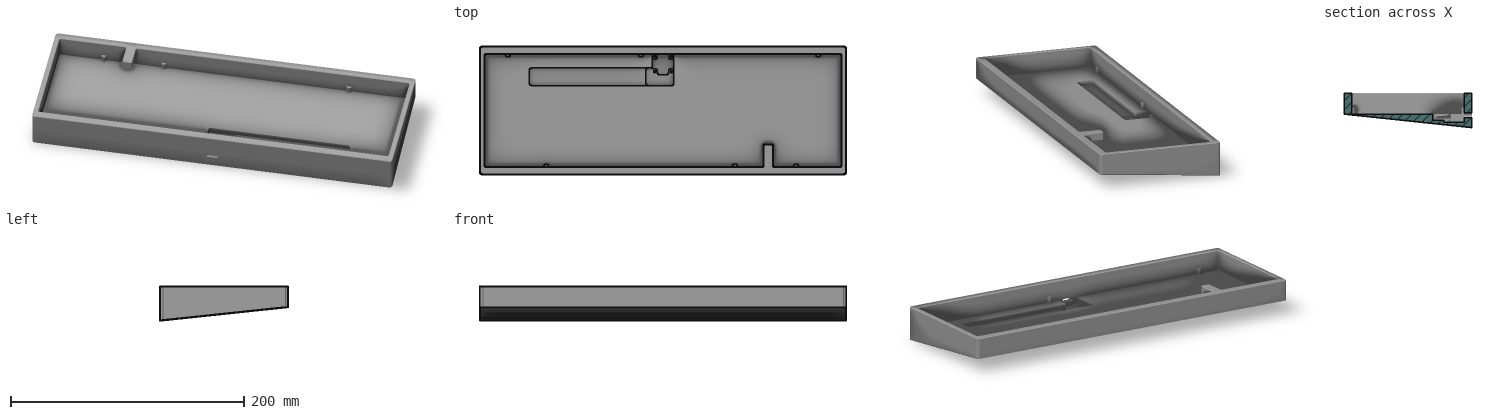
import cadquery as cq

LENGTH = 314.8
DEPTH = 110.2
BACK_HEIGHT = 30.0
FRONT_HEIGHT = 18.3
OUTER_RADIUS = 2.5
EDGE_CHAMFER = 0.5

SIDE_WALL = 4.5
LONG_WALL = 7.0
FLOOR_Z = 12.0
CAVITY_RADIUS = 1.5
INNER_LENGTH = LENGTH - 2 * SIDE_WALL
INNER_DEPTH = DEPTH - 2 * LONG_WALL
WALL_Y = INNER_DEPTH / 2

BOSS_RADIUS = 2.2
BOSS_HEIGHT = 5.5
BACK_BOSS_X = (-133.0, -19.0, 133.0)
FRONT_BOSS_X = (-100.0, 61.7, 114.3)

TAB_X = 90.3
TAB_WIDTH = 8.5
TAB_REACH = 19.2
TAB_THICKNESS = 6.5
TAB_RADIUS = 1.3

BOARD_WIDTH = 18.3
CHANNEL_LEFT_X = -115.0
CHANNEL_BACK_Y = 36.5
CHANNEL_FRONT_Y = 21.5
CHANNEL_DEPTH = 4.0
CHANNEL_RADIUS = 2.5
POCKET_LEFT_X = -14.8
POCKET_DEPTH = 5.5
POCKET_RIGHT_X = BOARD_WIDTH / 2
POCKET_RADIUS = 1.5

RECESS_FRONT_Y = 31.0
RECESS_DEPTH = 7.0
RECESS_RADIUS = 1.3
STANDOFF_X = 7.2
STANDOFF_BACK_Y = 46.3
STANDOFF_FRONT_Y = 33.5
STANDOFF_RADIUS = 2.5
HOLE_DIAMETER = 1.6
HOLE_DEPTH = 2.5

PORT_WIDTH = 11.0
PORT_HEIGHT = 3.8
PORT_TOP_Z = 12.5
PORT_Z = PORT_TOP_Z - PORT_HEIGHT / 2


def block(x_min, x_max, y_min, y_max, z_min, z_max):
    """Axis-aligned box between the given limits."""
    size = (x_max - x_min, y_max - y_min, z_max - z_min)
    return cq.Workplane("XY").box(*size, centered=False).translate((x_min, y_min, z_min))


def make_body():
    half = DEPTH / 2
    profile = [
        (-half, BACK_HEIGHT - FRONT_HEIGHT),
        (half, 0),
        (half, BACK_HEIGHT),
        (-half, BACK_HEIGHT),
    ]
    wedge = cq.Workplane("YZ").polyline(profile).close().extrude(LENGTH / 2, both=True)
    wedge = wedge.faces("<Z").edges("not |X").chamfer(EDGE_CHAMFER)
    return wedge.edges("|Z").fillet(OUTER_RADIUS)


def make_cavity():
    half_length = INNER_LENGTH / 2
    cavity = block(-half_length, half_length, -WALL_Y, WALL_Y, FLOOR_Z, BACK_HEIGHT)
    return cavity.edges("|Z").fillet(CAVITY_RADIUS)


def make_bosses():
    """Cylinders centred on the wall faces, so half of each shows."""
    centers = [(x, WALL_Y) for x in BACK_BOSS_X] + [(x, -WALL_Y) for x in FRONT_BOSS_X]
    floor = cq.Workplane("XY").workplane(offset=FLOOR_Z)
    return floor.pushPoints(centers).circle(BOSS_RADIUS).extrude(BOSS_HEIGHT)


def make_tab():
    half = TAB_WIDTH / 2
    tab = block(
        TAB_X - half, TAB_X + half,
        -WALL_Y - LONG_WALL / 2, -WALL_Y + TAB_REACH,
        BACK_HEIGHT - TAB_THICKNESS, BACK_HEIGHT,
    )
    return tab.edges("|Z and >Y").fillet(TAB_RADIUS)


def round_tab_roots(body):
    """Fillet the corners where the tab meets the front wall."""
    for side in (-1, 1):
        root = (TAB_X + side * TAB_WIDTH / 2, -WALL_Y, BACK_HEIGHT - TAB_THICKNESS / 2)
        body = body.edges(cq.NearestToPointSelector(root)).fillet(TAB_RADIUS)
    return body


def make_channel():
    channel = block(
        CHANNEL_LEFT_X, POCKET_LEFT_X + CHANNEL_RADIUS,
        CHANNEL_FRONT_Y, CHANNEL_BACK_Y,
        FLOOR_Z - CHANNEL_DEPTH, FLOOR_Z,
    )
    return channel.edges("|Z and <X").fillet(CHANNEL_RADIUS)


def make_pocket():
    """Board area open to the back wall, widened to the left where the cable enters."""
    bottom = FLOOR_Z - POCKET_DEPTH
    cable_bay = block(
        POCKET_LEFT_X, POCKET_RIGHT_X, CHANNEL_FRONT_Y, CHANNEL_BACK_Y, bottom, FLOOR_Z
    ).edges("|Z and <X").fillet(CHANNEL_RADIUS)
    board_bay = block(-BOARD_WIDTH / 2, POCKET_RIGHT_X, CHANNEL_FRONT_Y, WALL_Y, bottom, FLOOR_Z)
    pocket = cable_bay.union(board_bay)
    front_right = (POCKET_RIGHT_X, CHANNEL_FRONT_Y, bottom)
    inner = (-BOARD_WIDTH / 2, CHANNEL_BACK_Y, bottom)
    for corner in (front_right, inner):
        pocket = pocket.edges("|Z").edges(cq.NearestToPointSelector(corner)).fillet(POCKET_RADIUS)
    return pocket


def make_standoff(side, y, outward):
    """Round post filled out to the recess corner; side and outward are the signs toward it."""
    z_min = FLOOR_Z - RECESS_DEPTH
    z_max = FLOOR_Z - POCKET_DEPTH
    post = cq.Workplane("XY").workplane(offset=z_min).center(side * STANDOFF_X, y)
    post = post.circle(STANDOFF_RADIUS).extrude(z_max - z_min)
    corner_x = sorted((side * (STANDOFF_X - STANDOFF_RADIUS), side * BOARD_WIDTH / 2))
    corner_y = sorted((y, y + outward * STANDOFF_RADIUS))
    side_x = sorted((side * STANDOFF_X, side * BOARD_WIDTH / 2))
    side_y = (y - STANDOFF_RADIUS, y + STANDOFF_RADIUS)
    post = post.union(block(*corner_x, *corner_y, z_min, z_max))
    return post.union(block(*side_x, *side_y, z_min, z_max))


def make_recess():
    z_min = FLOOR_Z - RECESS_DEPTH
    recess = block(-BOARD_WIDTH / 2, POCKET_RIGHT_X, RECESS_FRONT_Y, WALL_Y, z_min, FLOOR_Z)
    for side in (-1, 1):
        recess = recess.cut(make_standoff(side, STANDOFF_BACK_Y, 1))
        recess = recess.cut(make_standoff(side, STANDOFF_FRONT_Y, -1))
    return recess.edges("|Z and <Y").fillet(RECESS_RADIUS)


def make_screw_holes():
    centers = [(x, y) for x in (-STANDOFF_X, STANDOFF_X) for y in (STANDOFF_FRONT_Y, STANDOFF_BACK_Y)]
    top = cq.Workplane("XY").workplane(offset=FLOOR_Z - POCKET_DEPTH)
    return top.pushPoints(centers).circle(HOLE_DIAMETER / 2).extrude(-HOLE_DEPTH)


def make_port():
    face = cq.Workplane("XZ", origin=(0, DEPTH / 2, PORT_Z))
    return face.slot2D(PORT_WIDTH, PORT_HEIGHT).extrude(LONG_WALL)


result = make_body().cut(make_cavity())
result = round_tab_roots(result.union(make_tab()))
result = result.faces(">Z").edges().chamfer(EDGE_CHAMFER)
result = result.union(make_bosses())
for cutter in (make_channel(), make_pocket(), make_recess(), make_screw_holes(), make_port()):
    result = result.cut(cutter)